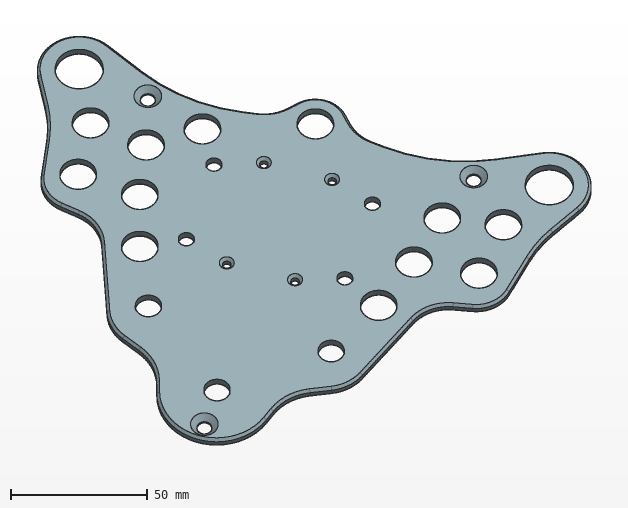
import cadquery as cq
import math

width = 211.0
length = 161.4
thickness = 3.2
edge_chamfer = 1.0

nose_radius = 12.0
nose_setback = 2.1
corner_radius = 15.5
tail_radius = 22.0
corner_x = width / 2 - corner_radius

LOBE = 1
HOLLOW = -1

outline_circles = [
    (0, -nose_setback - nose_radius, nose_radius, LOBE),
    (24.3, 1.0, 16.2, HOLLOW),
    (37.0, 53.2, 69.6, HOLLOW),
    (corner_x, -corner_radius, corner_radius, LOBE),
    (138.6, -56.8, 46.8, HOLLOW),
    (76.4, -62.7, 13.5, LOBE),
    (74.9, -93.2, 16.2, HOLLOW),
    (33.0, -110.5, 17.0, LOBE),
    (41.0, -147.0, 19.5, HOLLOW),
    (0, tail_radius - length, tail_radius, LOBE),
]

corner_hole_diameter = 17.7
large_hole_diameter = 13.5
medium_hole_diameter = 9.7
mount_hole_diameter = 6.0

nose_hole = (0, -14.0)
extra_left_hole = (-39.0, -28.0)
large_hole_pairs = [(79.1, -37.3), (56.8, -41.0), (76.8, -60.8), (52.5, -62.9), (45.8, -85.2)]
medium_hole_pair = (35.0, -110.0)
tail_hole = (0, -138.8)
mount_x = 30.4
mount_ys = (-42.2, -77.2)

screw_hole_diameter = 5.5
screw_head_diameter = 10.1
countersink_angle = 90
screw_x = 62.5
screw_y = -19.8
tail_screw = (0, -154.9)

pilot_diameter = 3.2
pilot_head_diameter = 5.5
pilot_x = 13.0
pilot_ys = (-36.0, -83.1)


def point_on(circle, angle):
    """Outline point of a circle where the outward normal of the plate has this angle."""
    x, y, radius, kind = circle
    return (x + kind * radius * math.cos(angle), y + kind * radius * math.sin(angle))


def tangent_angle(first, second):
    """Angle of the plate's outward normal along the line tangent to both circles."""
    dx = second[0] - first[0]
    dy = second[1] - first[1]
    signed_difference = first[2] * first[3] - second[2] * second[3]
    return math.atan2(dy, dx) + math.acos(signed_difference / math.hypot(dx, dy))


def half_plate():
    """Right half: arcs on the circles, joined by their common tangent lines."""
    back_angle = math.pi / 2
    front_angle = -math.pi / 2
    line_angles = [tangent_angle(a, b) for a, b in zip(outline_circles, outline_circles[1:])]
    start_angles = [back_angle] + line_angles
    end_angles = line_angles + [front_angle]

    outline = cq.Workplane("XY").moveTo(*point_on(outline_circles[0], back_angle))
    for index, circle in enumerate(outline_circles):
        start = start_angles[index]
        turn = math.remainder(end_angles[index] - start, 2 * math.pi)
        if index > 0:
            outline = outline.lineTo(*point_on(circle, start))
        outline = outline.threePointArc(point_on(circle, start + turn / 2), point_on(circle, start + turn))
    return outline.close().extrude(thickness)


def mirrored(points):
    """The points together with their mirror images about X = 0."""
    return [(side * x, y) for x, y in points for side in (-1, 1)]


right_half = half_plate()
plate = right_half.union(right_half.mirror("YZ")).clean()
plate = plate.faces(">Z").edges().chamfer(edge_chamfer)


def on_top(points):
    """Points on the top face of the plate as built so far."""
    return plate.faces(">Z").workplane(origin=(0, 0, thickness)).pushPoints(points)


large_holes = mirrored(large_hole_pairs) + [nose_hole, extra_left_hole]
medium_holes = mirrored([medium_hole_pair]) + [tail_hole]
mount_holes = mirrored([(mount_x, y) for y in mount_ys])
pilot_holes = mirrored([(pilot_x, y) for y in pilot_ys])
screw_holes = mirrored([(screw_x, screw_y)]) + [tail_screw]

plate = on_top(mirrored([(corner_x, -corner_radius)])).hole(corner_hole_diameter)
plate = on_top(large_holes).hole(large_hole_diameter)
plate = on_top(medium_holes).hole(medium_hole_diameter)
plate = on_top(mount_holes).hole(mount_hole_diameter)
plate = on_top(screw_holes).cskHole(screw_hole_diameter, screw_head_diameter, countersink_angle)
plate = on_top(pilot_holes).cskHole(pilot_diameter, pilot_head_diameter, countersink_angle)

result = plate